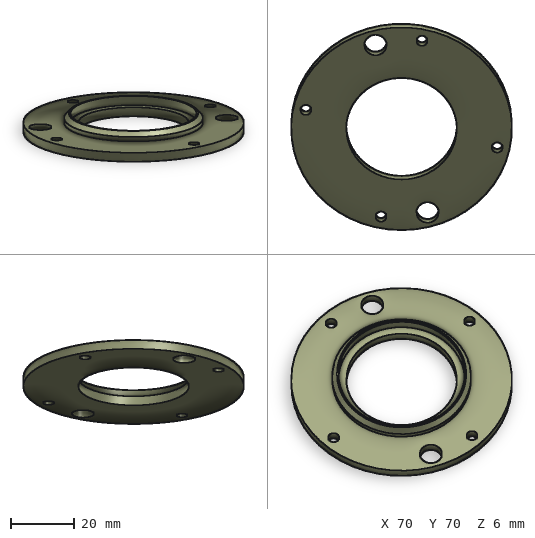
import cadquery as cq

flange_diameter = 70.0
flange_thickness = 3.0

collar_diameter = 44.0
collar_height = flange_thickness
collar_chamfer = collar_height / 2
total_height = flange_thickness + collar_height

bore_diameter = flange_diameter / 2
recess_diameter = 40.0
recess_depth = 3.0

small_hole_diameter = 3.4
small_hole_ring_radius = 31.0
small_hole_count = 4

large_hole_diameter = 7.0
large_hole_ring_radius = 30.0
large_hole_angle = 62.0
large_hole_count = 2


def disc(diameter, height, base=0.0):
    """Cylinder on the Z axis, standing on the given height."""
    return cq.Workplane("XY").workplane(offset=base).circle(diameter / 2).extrude(height)


def hole_ring(diameter, ring_radius, start_angle, count):
    """Evenly spaced cutters that pass through the flange."""
    return (
        cq.Workplane("XY")
        .polarArray(ring_radius, start_angle, 360, count)
        .circle(diameter / 2)
        .extrude(flange_thickness)
    )


flange = disc(flange_diameter, flange_thickness)
collar = disc(collar_diameter, collar_height, flange_thickness)
collar = collar.faces(">Z").edges().chamfer(collar_chamfer)
bore = disc(bore_diameter, total_height)
recess = disc(recess_diameter, recess_depth, total_height - recess_depth)
small_holes = hole_ring(small_hole_diameter, small_hole_ring_radius, 0, small_hole_count)
large_holes = hole_ring(large_hole_diameter, large_hole_ring_radius, large_hole_angle, large_hole_count)

result = flange.union(collar).cut(bore).cut(recess).cut(small_holes).cut(large_holes)